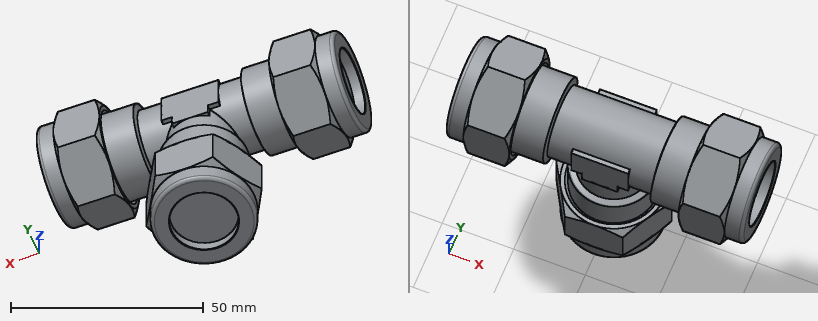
import cadquery as cq
import math


port_reach = 41.5
neck_diameter = 19.9
shoulder_diameter = 23.9
shoulder_start = 14.6
shoulder_cone = 0.4
shoulder_ledge = 0.3
nut_start = 23.65
nut_end = 36.5
nut_across_flats = 28.0
hexagon_sides = 6
nut_chamfer_angle = 30.0
collar_diameter = 27.8
collar_fillet = 1.0
socket_radius = 9.0
socket_depth = 3.0
socket_chamfer = 0.2
countersink_radius = 12.8
pad_half_width = 5.0
pad_reach = 8.0

neck_radius = neck_diameter / 2
shoulder_radius = shoulder_diameter / 2
collar_radius = collar_diameter / 2
nut_corner_radius = nut_across_flats / math.sqrt(3)
nut_chamfer_slope = math.tan(math.radians(nut_chamfer_angle))


def revolve_profile(points):
    """Spin a closed (radius, height) outline around the Z axis."""
    return cq.Workplane("XZ").polyline(points).close().revolve(360, (0, 0), (0, 1))


def make_body_arm():
    """Neck and shoulder of one port, along +Z from the tee centre."""
    shoulder_face = shoulder_start + shoulder_cone
    profile = [
        (0, 0),
        (neck_radius, 0),
        (neck_radius, shoulder_start),
        (shoulder_radius - shoulder_ledge, shoulder_face),
        (shoulder_radius, shoulder_face),
        (shoulder_radius, nut_end),
        (0, nut_end),
    ]
    return revolve_profile(profile)


def make_nut():
    """Hexagon with both ends trimmed by cones, corners on the X axis."""
    hexagon = (
        cq.Workplane("XY")
        .workplane(offset=nut_start)
        .polygon(hexagon_sides, 2 * nut_corner_radius)
        .extrude(nut_end - nut_start)
    )
    inner_face_radius = nut_across_flats / 2
    outer_face_radius = collar_radius
    inner_drop = (nut_corner_radius - inner_face_radius) * nut_chamfer_slope
    outer_drop = (nut_corner_radius - outer_face_radius) * nut_chamfer_slope
    envelope = [
        (0, nut_start),
        (inner_face_radius, nut_start),
        (nut_corner_radius, nut_start + inner_drop),
        (nut_corner_radius, nut_end - outer_drop),
        (outer_face_radius, nut_end),
        (0, nut_end),
    ]
    return hexagon.intersect(revolve_profile(envelope))


def make_collar():
    """Round end of the nut, with a rounded outer rim."""
    return (
        cq.Workplane("XY")
        .workplane(offset=nut_end)
        .circle(collar_radius)
        .extrude(port_reach - nut_end)
        .faces(">Z")
        .edges()
        .fillet(collar_fillet)
    )


def make_countersink():
    """Conical recess in the nut's inner face, narrowing to the shoulder."""
    depth = countersink_radius - shoulder_radius
    return (
        cq.Workplane("XY")
        .workplane(offset=nut_start)
        .circle(countersink_radius)
        .workplane(offset=depth)
        .circle(shoulder_radius)
        .loft()
    )


def make_socket():
    """Blind tube socket with a chamfered mouth."""
    mouth_radius = socket_radius + socket_chamfer
    floor = port_reach - socket_depth
    profile = [
        (0, floor),
        (socket_radius, floor),
        (socket_radius, port_reach - socket_chamfer),
        (mouth_radius, port_reach),
        (0, port_reach),
    ]
    return revolve_profile(profile)


def make_port():
    """One complete port along +Z; the shoulder carries on into the countersunk nut."""
    nut = make_nut().cut(make_countersink())
    return nut.union(make_body_arm()).union(make_collar()).cut(make_socket())


def make_wrench_pad():
    """T-shaped pad through the tee, flush with the necks on the -Y and +Y sides."""
    run_part = cq.Workplane("XY").box(2 * pad_reach, neck_diameter, 2 * pad_half_width)
    branch_part = (
        cq.Workplane("XY")
        .box(2 * pad_half_width, neck_diameter, pad_reach)
        .translate((0, 0, -pad_reach / 2))
    )
    return run_part.union(branch_part)


port = make_port()
branch = port.rotate((0, 0, 0), (1, 0, 0), 180)
result = branch.union(make_wrench_pad())
for tilt in (-90, 90):
    result = result.union(port.rotate((0, 0, 0), (0, 1, 0), tilt))